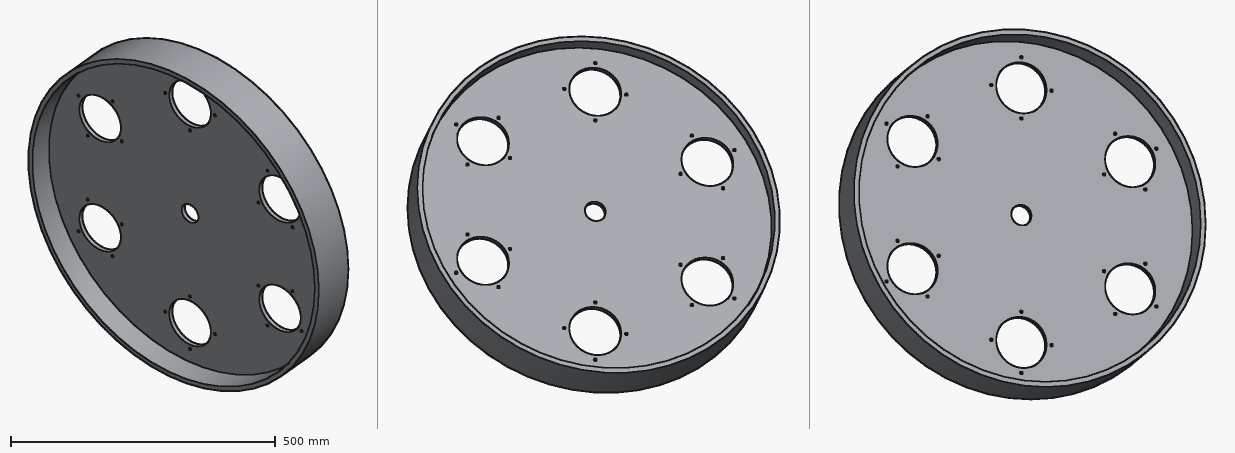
import cadquery as cq

outer_diameter = 700.0
rim_thickness = 10.0
width = 90.0
web_thickness = 10.0
recess_depth = 50.0

bore_diameter = 40.0
window_count = 6
window_diameter = 100.0
window_pitch_radius = 250.0

screw_hole_count = 4
screw_hole_diameter = 5.0
screw_hole_pitch_radius = 60.0

inner_diameter = outer_diameter - 2 * rim_thickness


def disc(diameter, length):
    """Solid cylinder on the wheel axis, from the front edge (Y = 0) toward +Y."""
    return cq.Workplane("XZ").circle(diameter / 2).extrude(-length)


def wheel_body():
    """Rim ring with a thin web set back from the front and rear edges."""
    rim = disc(outer_diameter, width).cut(disc(inner_diameter, width))
    web = disc(outer_diameter, web_thickness).translate((0, recess_depth, 0))
    return rim.union(web)


def window_with_screw_holes():
    """Cutter for the topmost window and the screw holes around it."""
    window = disc(window_diameter, width)
    screw_holes = (
        cq.Workplane("XZ")
        .polarArray(screw_hole_pitch_radius, 0, 360, screw_hole_count)
        .circle(screw_hole_diameter / 2)
        .extrude(-width)
    )
    return window.union(screw_holes).translate((0, 0, window_pitch_radius))


result = wheel_body().cut(disc(bore_diameter, width))

cutter = window_with_screw_holes()
for index in range(window_count):
    angle = index * 360 / window_count
    result = result.cut(cutter.rotate((0, 0, 0), (0, 1, 0), angle))